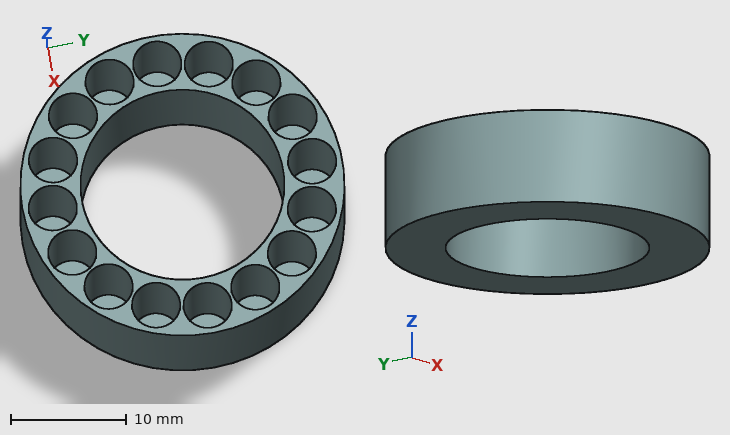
import cadquery as cq

outer_diameter = 28.0
bore_diameter = 17.6
height = 8.3

pocket_count = 16
pocket_diameter = 4.17
floor_thickness = 1.0
pocket_depth = height - floor_thickness
pocket_circle_radius = (outer_diameter + bore_diameter) / 4


def make_ring():
    """Plain ring standing on the XY plane."""
    return cq.Workplane("XY").circle(outer_diameter / 2).circle(bore_diameter / 2).extrude(height)


def make_pockets():
    """Evenly spaced cylinders that fill the pockets, from floor to top face."""
    return (
        cq.Workplane("XY")
        .workplane(offset=floor_thickness)
        .polarArray(pocket_circle_radius, 0, 360, pocket_count)
        .circle(pocket_diameter / 2)
        .extrude(pocket_depth)
    )


result = make_ring().cut(make_pockets())